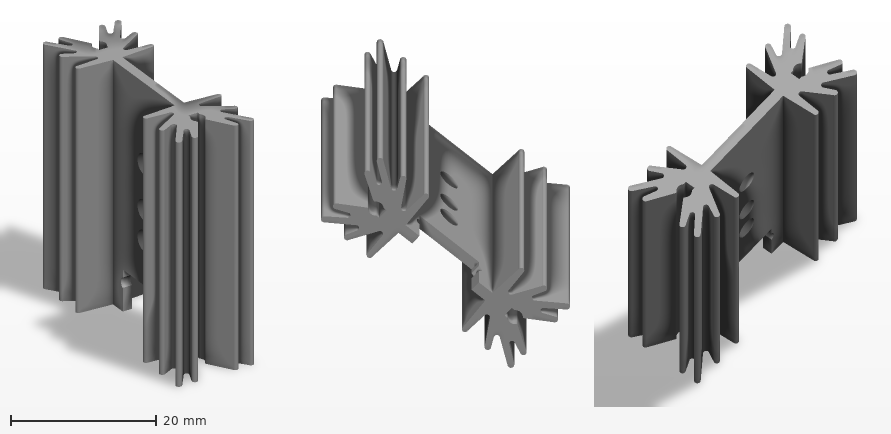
import cadquery as cq

length = 38.1
width = 34.9
depth = 12.7
half_width = width / 2
half_depth = depth / 2
web_thickness = 1.52
fin_root_x = 7.9

channel_floor_x = 11.4
channel_half_gap = 0.75
channel_bore_x = 12.65
channel_bore_radius = 1.05

hole_diameter = 3.2
hole_heights = (13.45, 18.25, 25.4)
notch_width = 10.8
notch_height = 6.55
relief_radius = 0.9
relief_span = 11.75
relief_height = 4.5

fin_arcs = (
    ((8.23, 5.85), (8.65, half_depth), (9.05, 5.85)),
    ((9.3, 2.55), (9.68, 2.15), (10.15, 2.4)),
    ((12.35, 6.02), (12.75, half_depth), (13.22, 5.8)),
    ((12.45, 4.25), (12.5, 3.75), (13.05, 3.7)),
    ((16.7, 6.25), (17.35, 6.15), (17.22, 5.5)),
    ((14.7, 3.62), (14.6, 3.12), (15.13, 2.97)),
    ((16.85, 3.7), (half_width, 3.4), (17.25, 2.95)),
    ((13.75, 0.72), (13.53, 0.65), (13.3, 0.72)),
)


def make_fin_quarter():
    """Fin cluster in the +X +Y quarter, with its root on the web centre plane."""
    outline = cq.Workplane("XY").moveTo(fin_root_x, 0).lineTo(fin_root_x, web_thickness / 2)
    for start, middle, end in fin_arcs:
        outline = outline.lineTo(*start).threePointArc(middle, end)
    return outline.lineTo(channel_bore_x, 0).close().extrude(length)


def make_channel(side):
    """Slot with a round bore, cut into the end of the section on the given side."""
    slot_length = channel_bore_x - channel_floor_x
    slot_center_x = channel_floor_x + slot_length / 2
    slot = (
        cq.Workplane("XY")
        .center(side * slot_center_x, 0)
        .rect(slot_length, 2 * channel_half_gap)
        .extrude(length)
    )
    bore = (
        cq.Workplane("XY")
        .center(side * channel_bore_x, 0)
        .circle(channel_bore_radius)
        .extrude(length)
    )
    return slot.union(bore)


def through_web(x, z, radius):
    """Round cutter running along Y through the web."""
    return cq.Workplane("XZ").center(x, z).circle(radius).extrude(web_thickness, both=True)


result = cq.Workplane("XY").rect(2 * channel_bore_x, web_thickness).extrude(length)
fin_half = make_fin_quarter()
fin_half = fin_half.union(fin_half.mirror("XZ"))
result = result.union(fin_half).union(fin_half.mirror("YZ"))

for side in (-1, 1):
    result = result.cut(make_channel(side))

for height in hole_heights:
    result = result.cut(through_web(0, height, hole_diameter / 2))

notch = cq.Workplane("XY").rect(notch_width, 2 * web_thickness).extrude(notch_height)
result = result.cut(notch)
relief_center_x = relief_span / 2 - relief_radius
for side in (-1, 1):
    result = result.cut(through_web(side * relief_center_x, relief_height, relief_radius))